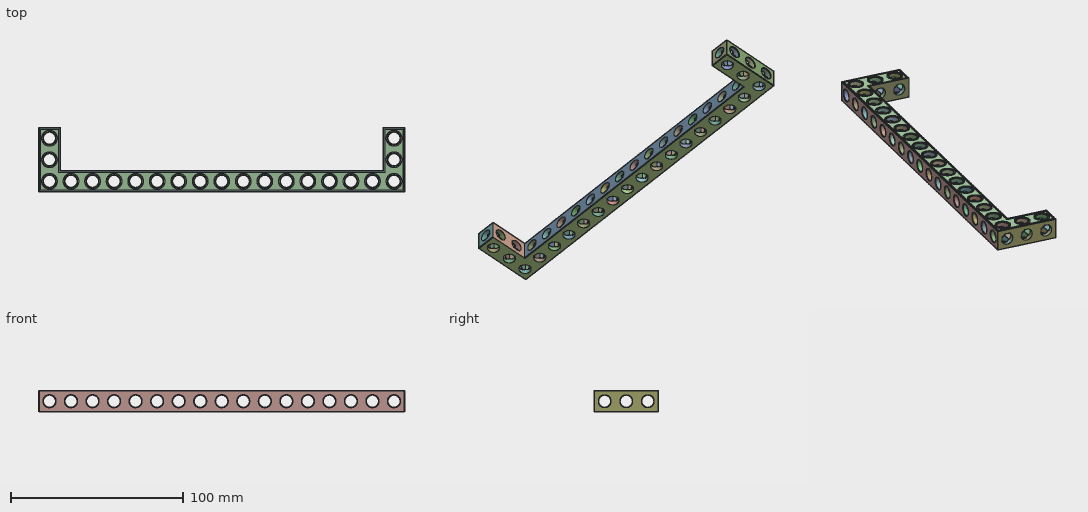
import cadquery as cq

length = 212.5
bar_hole_count = 17
arm_hole_count = 3
hole_diameter = 7.0
collar_diameter = 9.1
edge_chamfer = 0.32
hole_chamfer = 0.32
rim_width = 1.0
recess_depth = 0.2

pitch = length / bar_hole_count
arm_length = arm_hole_count * pitch
gap_length = length - 2 * pitch

mid_height = pitch / 2
bar_x = [(i + 0.5) * pitch - length / 2 for i in range(bar_hole_count)]
arm_y = [(i + 0.5) * pitch for i in range(arm_hole_count)]
top_points = [(x, arm_y[0]) for x in bar_x]
top_points += [(x, y) for x in (bar_x[0], bar_x[-1]) for y in arm_y[1:]]


def make_frame():
    """Bar along X with an arm along +Y at each end, chamfered except on the arms' inner sides."""
    block = cq.Workplane("XY").box(length, arm_length, pitch, centered=(True, False, False))
    block = block.edges().chamfer(edge_chamfer)
    gap = (
        cq.Workplane("XY")
        .box(gap_length, arm_length - pitch, pitch, centered=(True, False, False))
        .translate((0, pitch, 0))
    )
    frame = block.cut(gap)
    for height in (0, pitch):
        frame = frame.edges(cq.NearestToPointSelector((0, pitch, height))).chamfer(edge_chamfer)
    return frame


def make_recess():
    """Shallow U-shaped pocket in the top face, leaving a rim and a collar round each hole."""
    outer_x = length / 2 - rim_width
    inner_x = gap_length / 2 + rim_width
    front_y = rim_width
    back_y = arm_length - rim_width
    inner_y = pitch - rim_width
    pocket = (
        cq.Workplane("XY", origin=(0, 0, pitch - recess_depth))
        .moveTo(-outer_x, front_y)
        .lineTo(outer_x, front_y)
        .lineTo(outer_x, back_y)
        .lineTo(inner_x, back_y)
        .lineTo(inner_x, inner_y)
        .lineTo(-inner_x, inner_y)
        .lineTo(-inner_x, back_y)
        .lineTo(-outer_x, back_y)
        .close()
        .extrude(recess_depth)
    )
    collars = cq.Workplane("XY").pushPoints(top_points).circle(collar_diameter / 2).extrude(pitch)
    return pocket.cut(collars)


def make_drill(depth):
    """Hole cutter running down -Z from the origin, with a countersink at its mouth."""
    radius = hole_diameter / 2
    profile = [
        (0, 0),
        (radius + hole_chamfer, 0),
        (radius, -hole_chamfer),
        (radius, -depth),
        (0, -depth),
    ]
    return cq.Workplane("XZ").polyline(profile).close().revolve(360, (0, 0, 0), (0, 1, 0))


top_drill = make_drill(pitch)
front_drill = make_drill(arm_length).rotate((0, 0, 0), (1, 0, 0), 90)
side_drill = make_drill(length).rotate((0, 0, 0), (0, 1, 0), -90)

result = make_frame().cut(make_recess())
for x, y in top_points:
    result = result.cut(top_drill.translate((x, y, pitch)))
for x in bar_x:
    result = result.cut(front_drill.translate((x, 0, mid_height)))
for y in arm_y:
    result = result.cut(side_drill.translate((-length / 2, y, mid_height)))